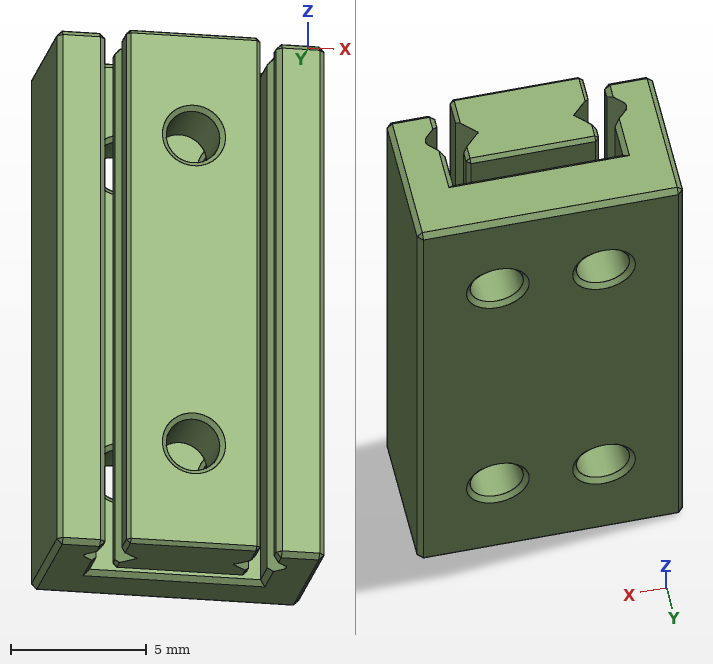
import cadquery as cq

length = 20.0
overall_depth = 6.0

housing_width = 10.0
housing_depth = 5.5
housing_chamfer = 0.2
channel_width = 6.4
back_thickness = 2.2

rail_width = 5.0
rail_depth = 3.0
rail_chamfer = 0.15

groove_center_offset = 1.75
groove_half_width = 0.7
housing_groove_radius = 0.28

hole_diameter = 2.0
hole_chamfer = 0.18
hole_spacing_z = 12.0
housing_hole_spacing_x = 4.0

back_y = overall_depth / 2
front_y = -overall_depth / 2
housing_front_y = back_y - housing_depth
channel_floor_y = back_y - back_thickness
rail_back_y = front_y + rail_depth
groove_y = front_y + groove_center_offset
hole_levels = (-hole_spacing_z / 2, hole_spacing_z / 2)


def block(width, y_min, y_max):
    """Full-length block centred on X and Z."""
    return cq.Workplane("XY").box(width, y_max - y_min, length).translate((0, (y_min + y_max) / 2, 0))


def v_groove(side, wall_x):
    """Full-length 45 degree prism; side is the X direction its tip points to from the wall."""
    tip_x = wall_x + side * groove_half_width
    mouth_x = wall_x - side * groove_half_width
    return (
        cq.Workplane("XY", origin=(0, 0, -length / 2))
        .polyline([
            (tip_x, groove_y),
            (mouth_x, groove_y + 2 * groove_half_width),
            (mouth_x, groove_y - 2 * groove_half_width),
        ])
        .close()
        .extrude(length)
    )


def chamfered_hole(x, z, y_min, y_max):
    """Cutter for a round hole along Y, flared by a chamfer at both ends."""
    radius = hole_diameter / 2
    flare = radius + hole_chamfer
    return (
        cq.Workplane("YZ")
        .polyline([
            (y_min, 0),
            (y_min, -flare),
            (y_min + hole_chamfer, -radius),
            (y_max - hole_chamfer, -radius),
            (y_max, -flare),
            (y_max, 0),
        ])
        .close()
        .revolve(360, (0, 0), (1, 0))
        .translate((x, 0, z))
    )


def make_housing():
    """U-shaped housing with a ball track in each channel wall and four mounting holes."""
    wall_x = channel_width / 2
    body = block(housing_width, housing_front_y, back_y)
    body = body.cut(block(channel_width, front_y, channel_floor_y))
    inside_corners = cq.selectors.BoxSelector(
        (-wall_x - housing_chamfer, channel_floor_y - housing_chamfer, -housing_chamfer),
        (wall_x + housing_chamfer, channel_floor_y + housing_chamfer, housing_chamfer),
    )
    all_edges = cq.selectors.StringSyntaxSelector("|Z or #Z")
    body = body.edges(cq.selectors.SubtractSelector(all_edges, inside_corners)).chamfer(housing_chamfer)

    for side in (-1, 1):
        groove = v_groove(side, side * wall_x)
        groove_tip = ">X" if side > 0 else "<X"
        body = body.cut(groove.edges("|Z").edges(groove_tip).fillet(housing_groove_radius))
        for z in hole_levels:
            hole_x = side * housing_hole_spacing_x / 2
            body = body.cut(chamfered_hole(hole_x, z, channel_floor_y, back_y))
    return body


def make_rail():
    """Slide rail with a V ball track in each side and two through holes."""
    body = block(rail_width, front_y, rail_back_y).edges().chamfer(rail_chamfer)
    for side in (-1, 1):
        body = body.cut(v_groove(-side, side * rail_width / 2))
    for z in hole_levels:
        body = body.cut(chamfered_hole(0, z, front_y, rail_back_y))
    return body


housing = make_housing()
rail = make_rail()

result = cq.Compound.makeCompound([housing.val(), rail.val()])